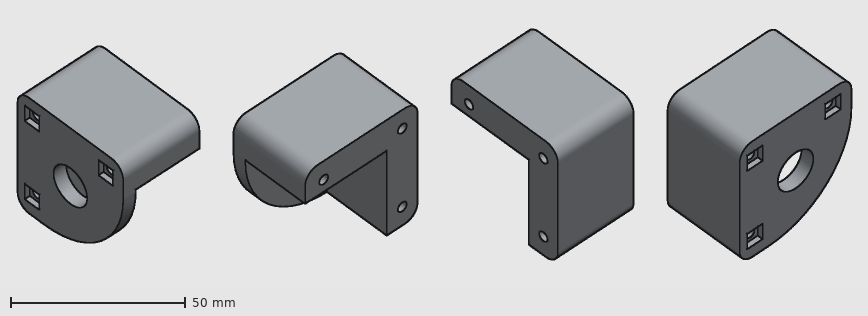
import cadquery as cq
import math

width = 44.4
depth = 30.0
height = 45.8
left = -width / 2
right = width / 2
bottom = -height / 2
top = height / 2
front = -depth / 2

corner_radius = 5.05
sweep_radius = 32.98

plate_thickness = 5.0
wall_thickness = 12.2

bore_diameter = 14.1
bolt_diameter = 3.5
bolt_spacing = 31.0
bolt_left_inset = 6.05
nut_pocket_side = 6.05
nut_pocket_depth = 2.0

bolt_left_x = left + bolt_left_inset
bolt_low_z = -bolt_spacing / 2
bolt_high_z = bolt_spacing / 2
bolt_positions = [
    (bolt_left_x, bolt_low_z),
    (bolt_left_x, bolt_high_z),
    (bolt_left_x + bolt_spacing, bolt_high_z),
]


def front_sketch():
    """Workplane on the front face, with local X, Y along global X, Z."""
    return cq.Workplane("XZ", origin=(0, front, 0))


def outer_block():
    """Quarter-round block with three small rounded corners."""
    diagonal = sweep_radius * math.sqrt(0.5)
    sweep_x = right - sweep_radius
    sweep_z = bottom + sweep_radius
    blank = (
        front_sketch()
        .moveTo(left, bottom)
        .lineTo(sweep_x, bottom)
        .threePointArc((sweep_x + diagonal, sweep_z - diagonal), (right, sweep_z))
        .lineTo(right, top)
        .lineTo(left, top)
        .close()
        .extrude(-depth)
    )
    return blank.edges("|Y and (<X or >Z)").fillet(corner_radius)


def open_corner():
    """Space behind the front plate, open to the rear and to the large arc."""
    return (
        cq.Workplane("XY")
        .box(width, depth, height)
        .translate((wall_thickness, plate_thickness, -wall_thickness))
    )


def nut_pockets():
    """Square nut recesses in the front face."""
    return (
        front_sketch()
        .pushPoints(bolt_positions)
        .rect(nut_pocket_side, nut_pocket_side)
        .extrude(-nut_pocket_depth)
    )


def bolt_holes():
    """Bolt holes through the full depth."""
    return front_sketch().pushPoints(bolt_positions).circle(bolt_diameter / 2).extrude(-depth)


def bore():
    """Central opening through the front plate."""
    return front_sketch().circle(bore_diameter / 2).extrude(-plate_thickness)


result = (
    outer_block()
    .cut(open_corner())
    .cut(nut_pockets())
    .cut(bolt_holes())
    .cut(bore())
)